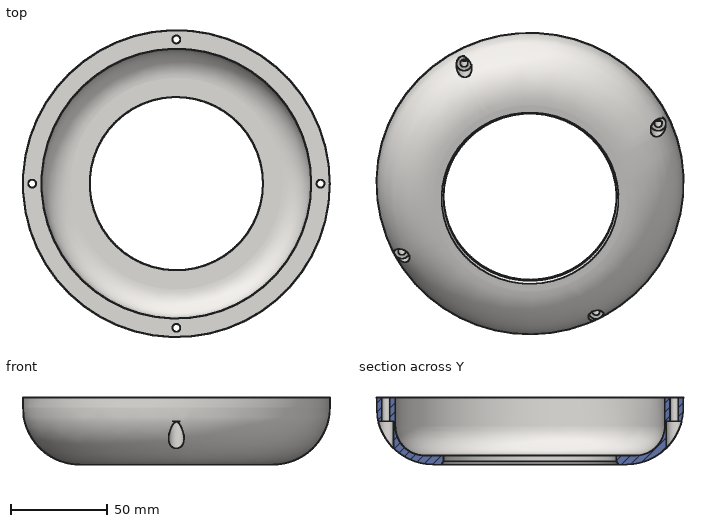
import cadquery as cq
import math

outer_radius = 80.0
height = 35.0
outer_round = 30.0
bore_radius = 45.0
cavity_radius = 70.0
cavity_round = 15.0
floor_thickness = 5.0
edge_chamfer = 0.25

bore_relief_height = 2.0
bore_relief_width = 1.1

screw_count = 4
screw_circle_radius = 75.0
screw_diameter = 4.0
head_diameter = 8.0
head_recess_top = 22.5


def corner_arc_middle(center_r, center_z, radius):
    """Middle of a quarter arc running from straight down to straight outward."""
    offset = radius * math.sqrt(0.5)
    return center_r + offset, center_z - offset


def make_bowl():
    outer_center_r = outer_radius - outer_round
    cavity_center_r = cavity_radius - cavity_round
    cavity_center_z = floor_thickness + cavity_round
    profile = (
        cq.Workplane("XZ")
        .moveTo(bore_radius, bore_relief_height)
        .lineTo(bore_radius + bore_relief_width, 0)
        .lineTo(outer_center_r, 0)
        .threePointArc(
            corner_arc_middle(outer_center_r, outer_round, outer_round),
            (outer_radius, outer_round),
        )
        .lineTo(outer_radius, height - edge_chamfer)
        .lineTo(outer_radius - edge_chamfer, height)
        .lineTo(cavity_radius + edge_chamfer, height)
        .lineTo(cavity_radius, height - edge_chamfer)
        .lineTo(cavity_radius, cavity_center_z)
        .threePointArc(
            corner_arc_middle(cavity_center_r, cavity_center_z, cavity_round),
            (cavity_center_r, floor_thickness),
        )
        .lineTo(bore_radius + edge_chamfer, floor_thickness)
        .lineTo(bore_radius, floor_thickness - edge_chamfer)
        .close()
    )
    return profile.revolve(360, (0, 0, 0), (0, 1, 0))


def rim_cylinders(diameter, length):
    """Cylinders rising from the base plane at every screw position."""
    return (
        cq.Workplane("XY")
        .polarArray(screw_circle_radius, 0, 360, screw_count)
        .circle(diameter / 2)
        .extrude(length)
    )


screw_holes = rim_cylinders(screw_diameter, height)
head_recesses = rim_cylinders(head_diameter, head_recess_top)
result = make_bowl().cut(screw_holes).cut(head_recesses)